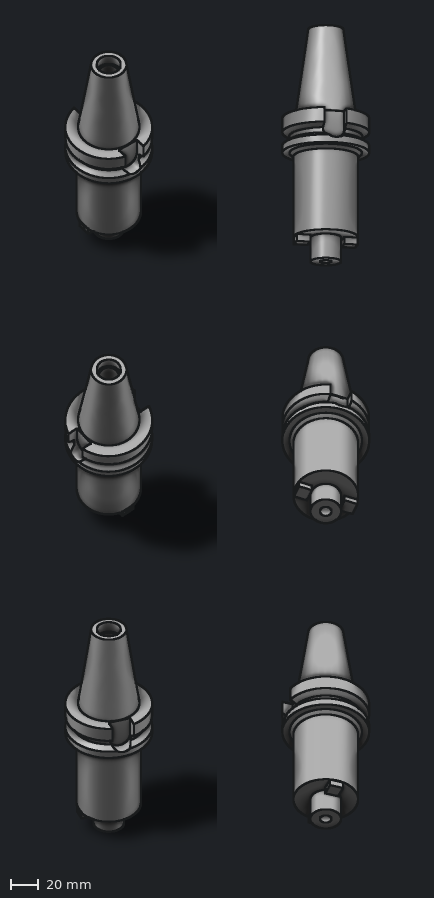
import cadquery as cq

total_height = 173.4
pilot_height = 18.0
flange_bottom = 81.2
flange_top = 107.2
taper_base = 108.0
groove_lower_edge = 86.7
groove_upper_edge = 96.4

pilot_radius = 11.1
body_radius = 23.4
flange_radius = 63.0 / 2
collar_radius = 26.2
groove_radius = 26.5
groove_wall_height = 3.0
taper_large_radius = 22.2
taper_small_radius = 12.8
collar_height = collar_radius - body_radius

through_radius = 4.2
bore_steps = [(8.7, 8.5), (7.3, 30.0), (5.9, 60.0)]

slot_width = 16.3
slot_floor_x = 22.5
slot_bottom = 85.1

key_width = 10.0
key_height = 5.2
key_inner_y = 12.7
key_outer_y = 22.7


def make_body():
    profile = [
        (0, 0),
        (pilot_radius, 0),
        (pilot_radius, pilot_height),
        (body_radius, pilot_height),
        (body_radius, flange_bottom - collar_height),
        (collar_radius, flange_bottom),
        (flange_radius, flange_bottom),
        (flange_radius, groove_lower_edge),
        (groove_radius, groove_lower_edge + groove_wall_height),
        (groove_radius, groove_upper_edge - groove_wall_height),
        (flange_radius, groove_upper_edge),
        (flange_radius, flange_top),
        (taper_large_radius, flange_top),
        (taper_large_radius, taper_base),
        (taper_small_radius, total_height),
        (0, total_height),
    ]
    return cq.Workplane("XZ").polyline(profile).close().revolve(360, (0, 0, 0), (0, 1, 0))


def make_bore():
    bore = cq.Workplane("XY").circle(through_radius).extrude(total_height)
    for radius, depth in bore_steps:
        step = cq.Workplane("XY", origin=(0, 0, total_height - depth)).circle(radius).extrude(depth)
        bore = bore.union(step)
    return bore


def make_slot(side):
    """Round-bottomed radial slot, open at the flange top and rim."""
    radius = slot_width / 2
    center_z = slot_bottom + radius
    return (
        cq.Workplane("YZ", origin=(side * slot_floor_x, 0, 0))
        .moveTo(-radius, flange_top)
        .lineTo(-radius, center_z)
        .threePointArc((0, slot_bottom), (radius, center_z))
        .lineTo(radius, flange_top)
        .close()
        .extrude(side * (flange_radius - slot_floor_x))
    )


def make_key(side):
    """Rectangular key hanging from the lower face of the body."""
    center_y = side * (key_inner_y + key_outer_y) / 2
    return (
        cq.Workplane("XY", origin=(0, center_y, pilot_height))
        .rect(key_width, key_outer_y - key_inner_y)
        .extrude(-key_height)
    )


result = make_body().cut(make_bore())
for side in (-1, 1):
    result = result.cut(make_slot(side)).union(make_key(side))